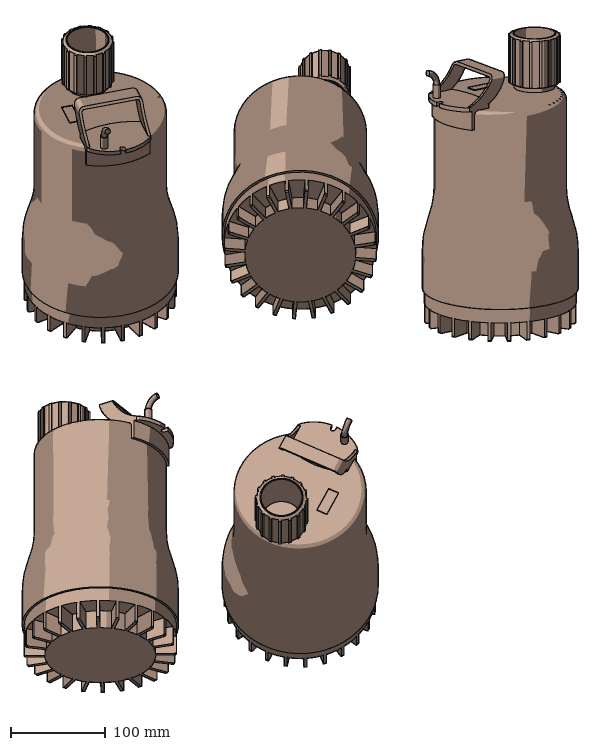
import cadquery as cq

FIN_HEIGHT = 20.5
STRAINER_TOP = 36.0
FLARE_BOTTOM = 75.5
FLARE_TOP = 148.8
DECK = 249.0
NUT_BOTTOM = 253.5
TOTAL_HEIGHT = 308.0

CASING_RADIUS = 70.0
FLANGE_RADIUS = 82.5
DECK_FILLET = 5.5

STRAINER_RADIUS = 80.5
DRUM_RADIUS = 58.5
FIN_COUNT = 24
FIN_WIDTH = 3.5
FIN_CHAMFER = 1.2

OUTLET_X = -45.0
SPIGOT_RADIUS = 21.5
SPIGOT_DEPTH_IN_NUT = 4.5
NUT_BODY_RADIUS = 26.2
NUT_RIB_RADIUS = 27.7
NUT_RIM_RADIUS = 22.8
NUT_CONE_HEIGHT = 2.2
NUT_RIB_COUNT = 16
NUT_RIB_WIDTH = 2.8

BRACKET_HALF_WIDTH = 35.0
BRACKET_SHEET = 3.0
PLATE_THICKNESS = 4.5
PLATE_TOP = DECK + PLATE_THICKNESS
PLATE_INNER_X = 33.5
PLATE_OUTER_X = 82.2
PLATE_CORNER_HALF_WIDTH = 33.3
PLATE_INNER_CORNER_X = 39.7
PLATE_OUTER_CORNER_X = 69.3
PLATE_SIDE_START_X = 41.5
PLATE_SIDE_END_X = 66.5
SLOT_WIDTH = 5.5
SLOT_CENTRE_X = 79.0
HANDLE_TOP = 284.0
HANDLE_FILLET = 6.2
HANDLE_TOP_START_X = 19.5
HANDLE_TOP_END_X = 35.0
HANDLE_FRONT_MIDDLE = (26.0, 268.0)
HANDLE_BACK_MIDDLE = (46.8, 266.5)
CLAMP_RADIUS = 72.7
CLAMP_BOTTOM = 228.2

CABLE_X = 70.5
CABLE_Y = -17.5
GLAND_RADIUS = 4.0
GLAND_TOP = 268.0
CABLE_RADIUS = 3.0
CABLE_BEND_RADIUS = 14.2
CABLE_BEND_ANGLE = 80.0

NAME_PLATE_LENGTH = 28.3
NAME_PLATE_WIDTH = 11.7
NAME_PLATE_HEIGHT = 1.0
NAME_PLATE_Y = -32.3


def make_casing():
    """Round casing with an S-shaped flare, a filleted deck and the outlet spigot."""
    flare_middle = ((CASING_RADIUS + FLANGE_RADIUS) / 2, (FLARE_BOTTOM + FLARE_TOP) / 2)
    shell = (
        cq.Workplane("XZ")
        .moveTo(0, STRAINER_TOP)
        .lineTo(FLANGE_RADIUS, STRAINER_TOP)
        .lineTo(FLANGE_RADIUS, FLARE_BOTTOM)
        .tangentArcPoint(flare_middle, relative=False)
        .tangentArcPoint((CASING_RADIUS, FLARE_TOP), relative=False)
        .lineTo(CASING_RADIUS, DECK)
        .lineTo(0, DECK)
        .close()
        .revolve(360, (0, 0, 0), (0, 1, 0))
        .faces(">Z")
        .edges()
        .fillet(DECK_FILLET)
    )
    spigot_height = NUT_BOTTOM - DECK + SPIGOT_DEPTH_IN_NUT
    spigot = cq.Workplane("XY", origin=(OUTLET_X, 0, DECK)).circle(SPIGOT_RADIUS).extrude(spigot_height)
    return shell.union(spigot)


def make_strainer():
    """Ring under the casing, with a drum and radial fins hanging below it."""
    ring = (
        cq.Workplane("XY", origin=(0, 0, FIN_HEIGHT))
        .circle(STRAINER_RADIUS)
        .extrude(STRAINER_TOP - FIN_HEIGHT)
    )
    drum = cq.Workplane("XY").circle(DRUM_RADIUS).extrude(FIN_HEIGHT)
    fins = (
        cq.Workplane("XY")
        .polarArray(STRAINER_RADIUS / 2, 0, 360, FIN_COUNT)
        .rect(STRAINER_RADIUS, FIN_WIDTH)
        .extrude(FIN_HEIGHT)
    )
    envelope = (
        cq.Workplane("XY")
        .circle(STRAINER_RADIUS)
        .extrude(STRAINER_TOP)
        .faces("<Z")
        .chamfer(FIN_CHAMFER)
    )
    return ring.union(drum).union(fins).intersect(envelope)


def make_outlet_nut():
    """Ribbed ring nut with both ends coned towards the bore."""
    height = TOTAL_HEIGHT - NUT_BOTTOM
    body = cq.Workplane("XY").circle(NUT_BODY_RADIUS).extrude(height)
    ribs = (
        cq.Workplane("XY")
        .polarArray(NUT_RIB_RADIUS / 2, 0, 360, NUT_RIB_COUNT)
        .rect(NUT_RIB_RADIUS, NUT_RIB_WIDTH)
        .extrude(height)
    )
    coned_envelope = (
        cq.Workplane("XZ")
        .polyline([
            (0, 0),
            (NUT_RIM_RADIUS, 0),
            (NUT_RIB_RADIUS, NUT_CONE_HEIGHT),
            (NUT_RIB_RADIUS, height - NUT_CONE_HEIGHT),
            (NUT_RIM_RADIUS, height),
            (0, height),
        ])
        .close()
        .revolve(360, (0, 0, 0), (0, 1, 0))
    )
    bore = cq.Workplane("XY").circle(SPIGOT_RADIUS).extrude(height)
    nut = body.union(ribs).intersect(coned_envelope).cut(bore)
    return nut.translate((OUTLET_X, 0, NUT_BOTTOM))


def make_deck_plate():
    """Flat plate with bowed ends, clipped corners and a slot open at the outer end."""
    plate = (
        cq.Workplane("XY", origin=(0, 0, DECK))
        .moveTo(PLATE_INNER_CORNER_X, PLATE_CORNER_HALF_WIDTH)
        .threePointArc((PLATE_INNER_X, 0), (PLATE_INNER_CORNER_X, -PLATE_CORNER_HALF_WIDTH))
        .lineTo(PLATE_SIDE_START_X, -BRACKET_HALF_WIDTH)
        .lineTo(PLATE_SIDE_END_X, -BRACKET_HALF_WIDTH)
        .lineTo(PLATE_OUTER_CORNER_X, -PLATE_CORNER_HALF_WIDTH)
        .threePointArc((PLATE_OUTER_X, 0), (PLATE_OUTER_CORNER_X, PLATE_CORNER_HALF_WIDTH))
        .lineTo(PLATE_SIDE_END_X, BRACKET_HALF_WIDTH)
        .lineTo(PLATE_SIDE_START_X, BRACKET_HALF_WIDTH)
        .close()
        .extrude(PLATE_THICKNESS)
    )
    slot_centre_distance = 2 * (PLATE_OUTER_X - SLOT_CENTRE_X)
    slot = (
        cq.Workplane("XY", origin=(PLATE_OUTER_X, 0, DECK))
        .slot2D(slot_centre_distance + SLOT_WIDTH, SLOT_WIDTH)
        .extrude(PLATE_THICKNESS)
    )
    return plate.cut(slot)


def handle_tunnel(half_width, top, corner_radius):
    """Bar along X with rounded upper corners, standing on the deck plate."""
    height = top - PLATE_TOP
    return (
        cq.Workplane("XY", origin=(0, 0, PLATE_TOP))
        .rect(2 * FLANGE_RADIUS, 2 * half_width)
        .extrude(height)
        .edges("|X and >Z")
        .fillet(corner_radius)
    )


def make_handle():
    """Bent sheet handle: two curved side walls joined by a flat top."""
    side_shape = (
        cq.Workplane("XZ")
        .moveTo(PLATE_SIDE_START_X, PLATE_TOP)
        .threePointArc(HANDLE_FRONT_MIDDLE, (HANDLE_TOP_START_X, HANDLE_TOP))
        .lineTo(HANDLE_TOP_END_X, HANDLE_TOP)
        .threePointArc(HANDLE_BACK_MIDDLE, (PLATE_SIDE_END_X, PLATE_TOP))
        .close()
        .extrude(BRACKET_HALF_WIDTH, both=True)
    )
    outside = handle_tunnel(BRACKET_HALF_WIDTH, HANDLE_TOP, HANDLE_FILLET)
    inside = handle_tunnel(
        BRACKET_HALF_WIDTH - BRACKET_SHEET,
        HANDLE_TOP - BRACKET_SHEET,
        HANDLE_FILLET - BRACKET_SHEET,
    )
    return side_shape.intersect(outside).cut(inside)


def make_clamp(casing):
    """Curved wall below the deck plate, hugging the side of the casing."""
    height = DECK - CLAMP_BOTTOM
    disc = cq.Workplane("XY", origin=(0, 0, CLAMP_BOTTOM)).circle(CLAMP_RADIUS).extrude(height)
    band = (
        cq.Workplane("XY", origin=(PLATE_SIDE_START_X, 0, CLAMP_BOTTOM))
        .rect(CLAMP_RADIUS, 2 * BRACKET_HALF_WIDTH, centered=(False, True))
        .extrude(height)
    )
    return disc.intersect(band).cut(casing)


def make_bracket(casing):
    """One-piece bracket on the deck."""
    return make_deck_plate().union(make_handle()).union(make_clamp(casing))


def make_gland():
    """Cable sleeve standing on the deck plate."""
    return (
        cq.Workplane("XY", origin=(CABLE_X, CABLE_Y, PLATE_TOP))
        .circle(GLAND_RADIUS)
        .extrude(GLAND_TOP - PLATE_TOP)
    )


def make_cable():
    """Cable end leaving the gland upwards and bending outwards."""
    bend_axis_start = (CABLE_BEND_RADIUS, 0)
    bend_axis_end = (CABLE_BEND_RADIUS, CABLE_RADIUS)
    return (
        cq.Workplane("XY", origin=(CABLE_X, CABLE_Y, GLAND_TOP))
        .circle(CABLE_RADIUS)
        .revolve(CABLE_BEND_ANGLE, bend_axis_start, bend_axis_end)
    )


def make_name_plate():
    """Thin rectangular plate on the deck."""
    return (
        cq.Workplane("XY", origin=(0, NAME_PLATE_Y, DECK))
        .rect(NAME_PLATE_LENGTH, NAME_PLATE_WIDTH)
        .extrude(NAME_PLATE_HEIGHT)
    )


casing = make_casing()
strainer = make_strainer()
outlet_nut = make_outlet_nut()
bracket = make_bracket(casing)
gland = make_gland()
cable = make_cable()
name_plate = make_name_plate()

result = cq.Compound.makeCompound([
    casing.solids().val(),
    strainer.solids().val(),
    outlet_nut.solids().val(),
    bracket.solids().val(),
    gland.val(),
    cable.val(),
    name_plate.val(),
])